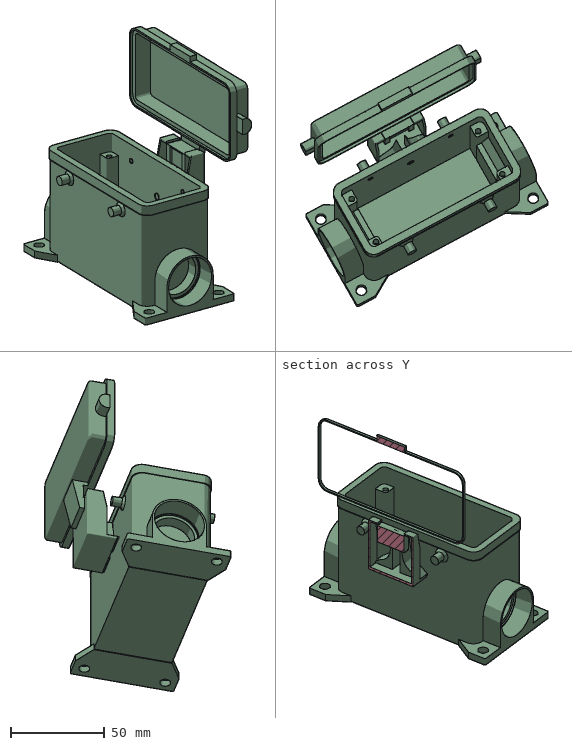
import cadquery as cq

JOINT_OVERLAP = 0.6

BODY_LENGTH = 94.0
BODY_WIDTH = 43.4
BODY_BOTTOM = 0.5
BODY_TOP = 63.2
BODY_CORNER = 5.8
RIM_BOTTOM = 57.5
RIM_OVERHANG = 0.4
CAVITY_LENGTH = 86.9
CAVITY_WIDTH = 35.9
CAVITY_CORNER = 2.7
FLOOR_THICKNESS = 3.7

PILLAR_INNER_X = 36.1
PILLAR_INNER_Y = 10.8
PILLAR_TOP = 52.3
PILLAR_ROUND = 1.5
PILLAR_HOLE_RADIUS = 1.5
PILLAR_HOLE_DEPTH = 9.9
PILLAR_HOLE_X = 38.6
PILLAR_HOLE_Y = 13.5
RAMP_INNER_X = 39.2
RAMP_BOTTOM = 35.3
RAMP_TOP = 39.6

TOTAL_LENGTH = 117.0
FOOT_WIDTH = 57.4
FOOT_THICKNESS = 4.1
FOOT_SHOULDER_X = 47.4
FOOT_INNER_X = 35.8
FOOT_CORNER = 1.0
FOOT_HOLE_RADIUS = 2.8
FOOT_HOLE_X = 52.5
FOOT_HOLE_Y = 22.4

PORT_RADIUS = 15.0
PORT_AXIS_Z = 18.3
PORT_BORE_RADIUS = 13.9
PORT_BORE_DEPTH = 10.9
PORT_STEP_RADIUS = 13.5
PORT_STEP_DEPTH = 11.9
PORT_HOLE_RADIUS = 11.6
PORT_HOLE_DEPTH = 18.6

PIN_X = 24.5
PIN_Z = 53.6
PIN_RADIUS = 2.6
PIN_TIP_Y = 28.2
PIN_BASE_RADIUS = 4.1
PIN_BASE_HEIGHT = 1.4

MARK_DEPTH = 0.4
PIN_MARK_RADIUS = 1.4
SCREW_MARK_RADIUS = 1.9
SCREW_MARK_Z = 41.8

LID_BACK_Y = 46.5
LID_FRONT_Y = 33.0
LID_FLANGE_BACK_Y = 37.2
LID_LENGTH = 96.5
LID_BOTTOM = 74.7
LID_TOP = 120.7
LID_CORNER = 6.2
LID_MID_Z = (LID_BOTTOM + LID_TOP) / 2
LID_HEIGHT = LID_TOP - LID_BOTTOM
LID_SHELL_INSET = 2.4
LID_SHELL_CORNER = 3.8
LID_BACK_ROUND = 1.6
LID_LIP_WIDTH = 1.0
LID_LIP_DEPTH = 1.5
LID_POCKET_INSET = 3.5
LID_POCKET_CORNER = 2.2
LID_BACK_THICKNESS = 2.4

TAB_LENGTH = 18.8
TAB_TOP = 123.8
EAR_LENGTH = 106.9
EAR_RADIUS = 4.6
EAR_AXIS_Y = 38.6

ARM_WIDTH = 17.7
ARM_BOTTOM = 58.7
ARM_BACK_TOP_Y = 45.8
ARM_BACK_BOTTOM_Y = 41.7
ARM_FRONT_Y = 39.7
ARM_ROOT_Z = 77.0

BRACKET_WIDTH = 29.8
BRACKET_BACK_Y = 39.0
BRACKET_FRONT_Y = 28.2
BRACKET_TOP_FRONT_Y = 30.3
BRACKET_BOTTOM = 36.1
BRACKET_TOP = 68.0
BRACKET_SLOPE_BOTTOM = 57.3
BRACKET_WALL = 1.2
LEDGE_FRONT_Y = 22.5
LEDGE_THICKNESS = 1.9
LEDGE_TOP = BRACKET_BOTTOM + LEDGE_THICKNESS
BRACKET_ROUND = 0.5
HINGE_BLOCK_FRONT_Y = 30.5
HINGE_BLOCK_BOTTOM = 55.7
HINGE_BLOCK_TOP = 66.5
HINGE_RECESS_WIDTH = 11.6
HINGE_RECESS_DEPTH = 1.4
HINGE_RECESS_TOP = 65.8

LUG_INNER_X = 2.6
LUG_STEEP_X = 4.1
LUG_STEEP_Z = 49.1
LUG_TOE_X = 10.8
LUG_TOE_Z = 41.1
LUG_HOLLOW = 1.6

SIDES = (-1, 1)


def upright_block(length, width, bottom, top, corner):
    """Block centred on the Z axis with rounded vertical edges."""
    block = cq.Workplane("XY", origin=(0, 0, bottom)).rect(length, width).extrude(top - bottom)
    return block.edges("|Z").fillet(corner)


def lid_slab(inset, front, back, corner):
    """Slab in the lid plane, inset from the lid outline, with rounded corners."""
    slab = cq.Workplane("XZ", origin=(0, back, LID_MID_Z))
    slab = slab.rect(LID_LENGTH - 2 * inset, LID_HEIGHT - 2 * inset).extrude(back - front)
    return slab.edges("|Y").fillet(corner)


def box(x_range, y_range, z_range):
    """Axis-aligned box between pairs of limits."""
    sizes = [limits[1] - limits[0] for limits in (x_range, y_range, z_range)]
    corner = (x_range[0], y_range[0], z_range[0])
    return cq.Workplane("XY").box(*sizes, centered=False).translate(corner)


def foot():
    """Foot plate at the +X end, its outline tapering in towards the body."""
    half_width = FOOT_WIDTH / 2
    end_x = TOTAL_LENGTH / 2
    outline = [
        (FOOT_INNER_X, -BODY_WIDTH / 2),
        (FOOT_SHOULDER_X, -half_width),
        (end_x, -half_width),
        (end_x, half_width),
        (FOOT_SHOULDER_X, half_width),
        (FOOT_INNER_X, BODY_WIDTH / 2),
    ]
    plate = cq.Workplane("XY").polyline(outline).close().extrude(FOOT_THICKNESS)
    plate = plate.edges("|Z and >X").fillet(FOOT_CORNER)
    holes = cq.Workplane("XY").pushPoints([(FOOT_HOLE_X, side * FOOT_HOLE_Y) for side in SIDES])
    return plate.cut(holes.circle(FOOT_HOLE_RADIUS).extrude(FOOT_THICKNESS))


def port():
    """Solid cable port at the +X end: half-round top on straight sides."""
    start_x = CAVITY_LENGTH / 2
    length = TOTAL_LENGTH / 2 - start_x
    barrel = cq.Workplane("YZ", origin=(start_x, 0, PORT_AXIS_Z)).circle(PORT_RADIUS).extrude(length)
    base = box((start_x, TOTAL_LENGTH / 2), (-PORT_RADIUS, PORT_RADIUS), (0, PORT_AXIS_Z))
    return barrel.union(base)


def port_bore():
    """Stepped bore entering the port at the +X end."""
    face = cq.Workplane("YZ", origin=(TOTAL_LENGTH / 2, 0, PORT_AXIS_Z))
    bore = face.circle(PORT_BORE_RADIUS).extrude(-PORT_BORE_DEPTH)
    bore = bore.union(face.circle(PORT_STEP_RADIUS).extrude(-PORT_STEP_DEPTH))
    return bore.union(face.circle(PORT_HOLE_RADIUS).extrude(-PORT_HOLE_DEPTH))


def end_fittings():
    """Two screw pillars and the ramped block between them at the +X end of the cavity."""
    wall_x = CAVITY_LENGTH / 2 + JOINT_OVERLAP
    wall_y = CAVITY_WIDTH / 2 + JOINT_OVERLAP
    ramp_slope = (RAMP_TOP - RAMP_BOTTOM) / (CAVITY_LENGTH / 2 - RAMP_INNER_X)
    ramp_end = RAMP_BOTTOM + ramp_slope * (wall_x - RAMP_INNER_X)
    profile = [
        (PILLAR_INNER_X, BODY_BOTTOM),
        (PILLAR_INNER_X, RAMP_BOTTOM),
        (RAMP_INNER_X, RAMP_BOTTOM),
        (wall_x, ramp_end),
        (wall_x, BODY_BOTTOM),
    ]
    fittings = cq.Workplane("XZ", origin=(0, wall_y, 0)).polyline(profile).close().extrude(2 * wall_y)
    for side in SIDES:
        y_range = sorted((side * PILLAR_INNER_Y, side * wall_y))
        pillar = box((PILLAR_INNER_X, wall_x), y_range, (BODY_BOTTOM, PILLAR_TOP))
        inner_edge = "|Z and <X and <Y" if side > 0 else "|Z and <X and >Y"
        pillar = pillar.edges(inner_edge).fillet(PILLAR_ROUND)
        hole = cq.Workplane("XY", origin=(PILLAR_HOLE_X, side * PILLAR_HOLE_Y, PILLAR_TOP))
        pillar = pillar.cut(hole.circle(PILLAR_HOLE_RADIUS).extrude(-PILLAR_HOLE_DEPTH))
        fittings = fittings.cut(box((0, wall_x), y_range, (BODY_BOTTOM, BODY_TOP))).union(pillar)
    return fittings


def both_ends(shape):
    """The shape together with its mirror image at the -X end."""
    return shape.union(shape.mirror("YZ"))


def locking_pin(x, side):
    """Pin with a conical base, on the long wall at the given side."""
    wall_y = BODY_WIDTH / 2
    profile = [
        (0, wall_y - JOINT_OVERLAP),
        (PIN_BASE_RADIUS, wall_y - JOINT_OVERLAP),
        (PIN_BASE_RADIUS, wall_y),
        (PIN_RADIUS, wall_y + PIN_BASE_HEIGHT),
        (PIN_RADIUS, PIN_TIP_Y),
        (0, PIN_TIP_Y),
    ]
    pin = cq.Workplane("XY").polyline(profile).close().revolve(360, (0, 0), (0, 1))
    pin = pin if side > 0 else pin.mirror("XZ")
    return pin.translate((x, 0, PIN_Z))


def back_wall_mark(x, z, radius):
    """Shallow round recess in the inner face of the back wall."""
    mark = cq.Workplane("XZ", origin=(x, CAVITY_WIDTH / 2, z))
    return mark.circle(radius).extrude(-MARK_DEPTH)


def housing():
    """Open box with rim, feet, ports, inner fittings and locking pins."""
    body = upright_block(BODY_LENGTH, BODY_WIDTH, BODY_BOTTOM, BODY_TOP, BODY_CORNER)
    rim_length = BODY_LENGTH + 2 * RIM_OVERHANG
    rim_width = BODY_WIDTH + 2 * RIM_OVERHANG
    body = body.union(upright_block(rim_length, rim_width, RIM_BOTTOM, BODY_TOP, BODY_CORNER))
    body = body.union(both_ends(foot())).union(both_ends(port()))
    cavity_bottom = BODY_BOTTOM + FLOOR_THICKNESS
    body = body.cut(upright_block(CAVITY_LENGTH, CAVITY_WIDTH, cavity_bottom, BODY_TOP, CAVITY_CORNER))
    body = body.union(both_ends(end_fittings()))
    body = body.cut(both_ends(port_bore()))
    body = body.cut(back_wall_mark(0, SCREW_MARK_Z, SCREW_MARK_RADIUS))
    for x in (-PIN_X, PIN_X):
        body = body.cut(back_wall_mark(x, PIN_Z, PIN_MARK_RADIUS))
        for side in SIDES:
            body = body.union(locking_pin(x, side))
    return body


def lid():
    """Lid tray with flange, lip, top tab, side ears and hinge arm."""
    shell = lid_slab(LID_SHELL_INSET, LID_FRONT_Y, LID_BACK_Y, LID_SHELL_CORNER)
    shell = shell.faces(">Y").edges().fillet(LID_BACK_ROUND)
    flange = lid_slab(0, LID_FRONT_Y, LID_FLANGE_BACK_Y, LID_CORNER)
    tab = box((-TAB_LENGTH / 2, TAB_LENGTH / 2), (LID_FRONT_Y, LID_FLANGE_BACK_Y), (LID_MID_Z, TAB_TOP))
    ears = cq.Workplane("YZ", origin=(-EAR_LENGTH / 2, EAR_AXIS_Y, LID_MID_Z))
    ears = ears.circle(EAR_RADIUS).extrude(EAR_LENGTH)
    behind_flange = box((-EAR_LENGTH, EAR_LENGTH), (LID_FLANGE_BACK_Y, LID_BACK_Y), (0, TAB_TOP))
    tray = shell.union(flange).union(tab).union(ears.intersect(behind_flange)).union(arm())
    lip_corner = LID_CORNER - LID_LIP_WIDTH
    lip = lid_slab(LID_LIP_WIDTH, LID_FRONT_Y, LID_FRONT_Y + LID_LIP_DEPTH, lip_corner)
    pocket_back = LID_BACK_Y - LID_BACK_THICKNESS
    pocket = lid_slab(LID_POCKET_INSET, LID_FRONT_Y, pocket_back, LID_POCKET_CORNER)
    return tray.cut(lip).cut(pocket)


def arm():
    """Tapering arm from the underside of the lid down into the bracket."""
    profile = [
        (LID_FLANGE_BACK_Y, ARM_ROOT_Z + JOINT_OVERLAP),
        (LID_FLANGE_BACK_Y, LID_BOTTOM),
        (ARM_FRONT_Y, LID_BOTTOM),
        (ARM_FRONT_Y, HINGE_BLOCK_TOP),
        (BRACKET_BACK_Y - JOINT_OVERLAP, HINGE_BLOCK_TOP),
        (BRACKET_BACK_Y - JOINT_OVERLAP, ARM_BOTTOM),
        (ARM_BACK_BOTTOM_Y, ARM_BOTTOM),
        (ARM_BACK_TOP_Y, ARM_ROOT_Z),
        (ARM_BACK_TOP_Y, ARM_ROOT_Z + JOINT_OVERLAP),
    ]
    plane = cq.Workplane("YZ", origin=(-ARM_WIDTH / 2, 0, 0))
    return plane.polyline(profile).close().extrude(ARM_WIDTH)


def lug():
    """Gusset on the ledge at the +X side, joining the bracket to the back wall."""
    outer_x = BRACKET_WIDTH / 2
    start_y = BODY_WIDTH / 2 - JOINT_OVERLAP
    profile = (
        cq.Workplane("XZ", origin=(0, start_y, 0))
        .moveTo(LUG_INNER_X, BRACKET_BOTTOM + LEDGE_THICKNESS / 2)
        .lineTo(LUG_INNER_X, BRACKET_SLOPE_BOTTOM)
        .lineTo(LUG_STEEP_X, LUG_STEEP_Z)
        .sagittaArc((LUG_TOE_X, LUG_TOE_Z), -LUG_HOLLOW)
        .lineTo(outer_x, LEDGE_TOP)
        .lineTo(outer_x, BRACKET_BOTTOM + LEDGE_THICKNESS / 2)
        .close()
    )
    return profile.extrude(start_y - BRACKET_FRONT_Y - BRACKET_WALL)


def bracket():
    """Hollow hinge bracket, open to the front, with a central hinge block and lugs."""
    half_width = BRACKET_WIDTH / 2
    profile = [
        (LEDGE_FRONT_Y, BRACKET_BOTTOM),
        (BRACKET_BACK_Y, BRACKET_BOTTOM),
        (BRACKET_BACK_Y, BRACKET_TOP),
        (BRACKET_TOP_FRONT_Y, BRACKET_TOP),
        (BRACKET_FRONT_Y, BRACKET_SLOPE_BOTTOM),
        (BRACKET_FRONT_Y, LEDGE_TOP),
        (LEDGE_FRONT_Y, LEDGE_TOP),
    ]
    plane = cq.Workplane("YZ", origin=(-half_width, 0, 0))
    shell = plane.polyline(profile).close().extrude(BRACKET_WIDTH)
    shell = shell.faces(">Y or >Z or <Z").edges().fillet(BRACKET_ROUND)
    inner_x = half_width - BRACKET_WALL
    inner_y = (LEDGE_FRONT_Y, BRACKET_BACK_Y - BRACKET_WALL)
    shell = shell.cut(box((-inner_x, inner_x), inner_y, (LEDGE_TOP, BRACKET_TOP - BRACKET_WALL)))
    arm_x = (-ARM_WIDTH / 2, ARM_WIDTH / 2)
    shell = shell.cut(box(arm_x, (LEDGE_FRONT_Y, BRACKET_BACK_Y), (HINGE_BLOCK_TOP, BRACKET_TOP)))
    block_y = (HINGE_BLOCK_FRONT_Y, BRACKET_BACK_Y)
    block = box(arm_x, block_y, (HINGE_BLOCK_BOTTOM, HINGE_BLOCK_TOP))
    recess_x = (-HINGE_RECESS_WIDTH / 2, HINGE_RECESS_WIDTH / 2)
    recess_y = (HINGE_BLOCK_FRONT_Y, HINGE_BLOCK_FRONT_Y + HINGE_RECESS_DEPTH)
    block = block.cut(box(recess_x, recess_y, (HINGE_BLOCK_BOTTOM, HINGE_RECESS_TOP)))
    return shell.union(block).union(both_ends(lug()))


result = housing().union(bracket()).union(lid())